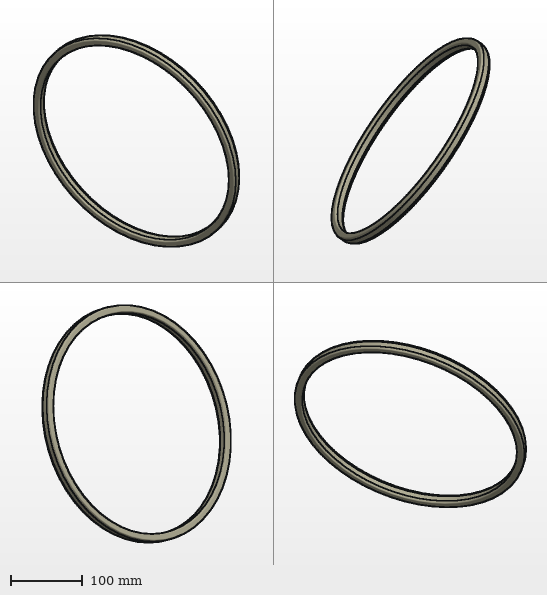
import cadquery as cq
import math

outer_diameter = 335.0
bore_diameter = 312.5
width = 15.7
land_width = 8.5
taper_angle = 23.0
corner_radius = 1.5

outer_radius = outer_diameter / 2
bore_radius = bore_diameter / 2
half_width = width / 2
half_land = land_width / 2
taper_drop = (half_width - half_land) * math.tan(math.radians(taper_angle))

section = (
    cq.Workplane("XY")
    .moveTo(outer_radius, -half_land)
    .lineTo(outer_radius, half_land)
    .lineTo(outer_radius - taper_drop, half_width)
    .lineTo(bore_radius + taper_drop, half_width)
    .lineTo(bore_radius, half_land)
    .lineTo(bore_radius, -half_land)
    .lineTo(bore_radius + taper_drop, -half_width)
    .lineTo(outer_radius - taper_drop, -half_width)
    .close()
)

ring = section.revolve(360, (0, 0, 0), (0, 1, 0))

result = ring.faces("<Y or >Y").edges().fillet(corner_radius)